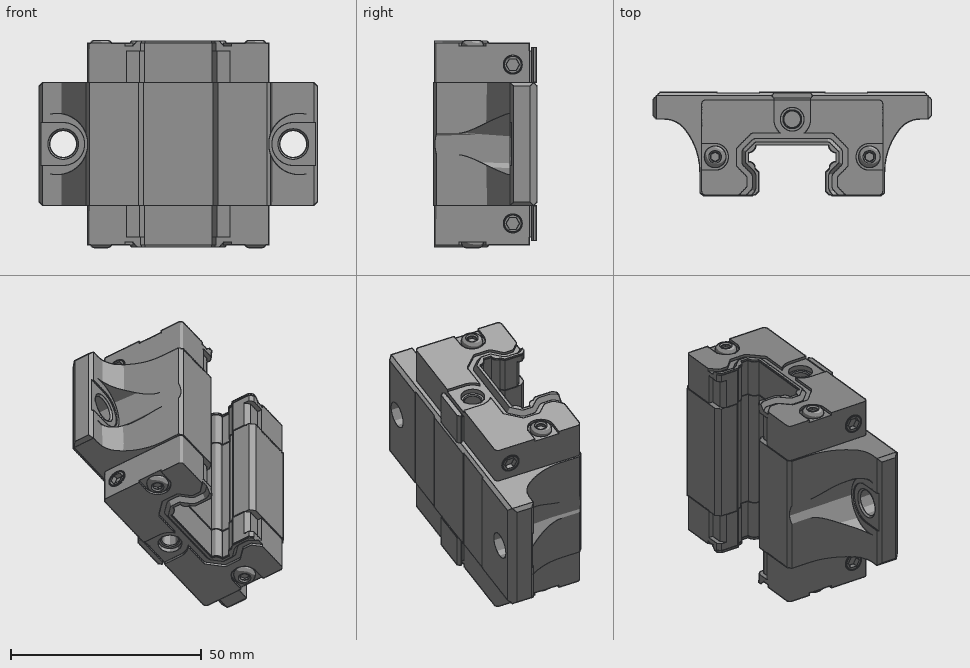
import cadquery as cq
import math


WIDTH = 73.0
HEIGHT = 27.2
LENGTH = 54.4
TOP_Y = HEIGHT / 2
BOTTOM_Y = -HEIGHT / 2
BELOW = BOTTOM_Y - 3.65

BLOCK_LENGTH = 32.3
BLOCK_END_Z = BLOCK_LENGTH / 2
BODY_HALF_WIDTH = 24.2
FLANGE_UNDERSIDE_Y = 6.5
SMALL_FILLET_RADIUS = 6.8
LARGE_FILLET_RADIUS = 18.2
FILLET_START_X = 33.5
FILLET_END_Y = -7.4
TIP_CHAMFER = 0.95
TOP_EDGE_CHAMFER = 1.9
FOOT_CHAMFER_X = 1.0
FOOT_CHAMFER_Y = 0.9
TOP_GROOVE_INNER_X = 8.6
TOP_GROOVE_OUTER_X = 19.7
TOP_GROOVE_DEPTH = 0.2

MOUNT_X = 30.15
MOUNT_DIAMETER = 7.0
MOUNT_COUNTERSINK = 8.0
MOUNT_PAD_RADIUS = 5.6
MOUNT_PAD_DEPTH = 0.4
RELIEF_X = 31.75
RELIEF_RADIUS = 8.0

CAP_END_Z = 26.4
CAP_HALF_WIDTH = 23.7
CAP_TOP_Y = 11.5
CAP_BOTTOM_Y = -13.35
CAP_EDGE_RADIUS = 1.0
RECESS_DEPTH = 0.7
RECESS_FLOOR_Z = CAP_END_Z - RECESS_DEPTH
SIDE_SLOT_X = 13.5
SIDE_SLOT_END_Z = 24.4
SIDE_SLOT_FLOOR_Y = -12.1
SIDE_SLOT_CHAMFER = 1.25

SEAL_END_Z = 27.0
SEAL_SLOPE_WIDTH = 0.95
SEAL_GAP = 1.4
SEAL_CORNER_RADIUS = 1.6
RECESS_CORNER_RADIUS = 0.9
CAP_CLEARANCE = 0.15
BLOCK_CLEARANCE = 0.4
CHANNEL_TOP_Y = -0.3
CHANNEL_TOP_HALF = 9.5
CHANNEL_WAIST_HALF = 11.45
CHANNEL_FOOT_HALF = 8.75
CHANNEL_FOOT_CHAMFER_Y = -12.5

SCREW_X = 20.2
SCREW_Y = -3.35
SCREW_HEAD_DIAMETER = 5.7
SCREW_SOCKET_RING = 3.3
SCREW_SOCKET_DIAMETER = 2.5
SCREW_SOCKET_DEPTH = 1.1
SCREW_POCKET_RADIUS = 3.5

PORT_Y = 6.5
PORT_POCKET_HALF = 4.8
PORT_COUNTERBORE = 6.2
PORT_COUNTERBORE_DEPTH = 1.3
PORT_HOLE_MOUTH = 5.0
PORT_HOLE = 4.4
PORT_HOLE_DEPTH = 5.85
CLIP_END_Z = 25.3
CLIP_NECK_END_Z = 24.4
CLIP_TOP_Y = 13.4
CLIP_MIDDLE_Y = 12.7
CLIP_BASE_Y = 12.1
CLIP_TOP_HALF = 4.7
CLIP_MIDDLE_HALF = 5.4
CLIP_BASE_HALF = 5.0

SET_SCREW_Y = 7.2
SET_SCREW_Z = 20.8
SET_SCREW_DIAMETER = 5.0
SET_SCREW_FACE = 4.4
SET_SCREW_HEX_FLATS = 3.1
SET_SCREW_HEX_DEPTH = 1.45


def both_sides(shape):
    """The shape together with its mirror image in the YZ plane."""
    return shape.union(shape.mirror("YZ"))


def mirrored_outline(half_points):
    """Closed polyline from points on the +X side, mirrored to the -X side."""
    other_half = [(-x, y) for x, y in reversed(half_points)]
    return cq.Workplane("XY").polyline(half_points + other_half).close()


def channel(start_z, end_z, clearance):
    """Rail opening between two Z positions, enlarged by a clearance."""
    foot_spread = CHANNEL_FOOT_HALF + CHANNEL_FOOT_CHAMFER_Y - BELOW
    outline = (
        cq.Workplane("XY", origin=(0, 0, start_z))
        .moveTo(-CHANNEL_TOP_HALF, CHANNEL_TOP_Y)
        .lineTo(CHANNEL_TOP_HALF, CHANNEL_TOP_Y)
        .threePointArc((10.15, -1.75), (CHANNEL_WAIST_HALF, -2.3))
        .lineTo(CHANNEL_WAIST_HALF, -4.6)
        .threePointArc((10.15, -5.1), (9.7, -6.35))
        .lineTo(CHANNEL_FOOT_HALF, -7.3)
        .lineTo(CHANNEL_FOOT_HALF, CHANNEL_FOOT_CHAMFER_Y)
        .lineTo(foot_spread, BELOW)
        .lineTo(-foot_spread, BELOW)
        .lineTo(-CHANNEL_FOOT_HALF, CHANNEL_FOOT_CHAMFER_Y)
        .lineTo(-CHANNEL_FOOT_HALF, -7.3)
        .lineTo(-9.7, -6.35)
        .threePointArc((-10.15, -5.1), (-CHANNEL_WAIST_HALF, -4.6))
        .lineTo(-CHANNEL_WAIST_HALF, -2.3)
        .threePointArc((-10.15, -1.75), (-CHANNEL_TOP_HALF, CHANNEL_TOP_Y))
        .close()
    )
    if clearance > 0:
        outline = outline.offset2D(clearance, "intersection")
    return outline.extrude(end_z - start_z)


def block_blank():
    """Block with wide flanges and two-arc transitions to its sides."""
    tip_x = WIDTH / 2
    small_centre_y = FLANGE_UNDERSIDE_Y - SMALL_FILLET_RADIUS
    large_centre_x = BODY_HALF_WIDTH + LARGE_FILLET_RADIUS
    tangent_angle = math.atan2(small_centre_y - FILLET_END_Y, FILLET_START_X - large_centre_x)

    def on_small_arc(angle):
        x = FILLET_START_X + SMALL_FILLET_RADIUS * math.cos(angle)
        return x, small_centre_y + SMALL_FILLET_RADIUS * math.sin(angle)

    def on_large_arc(angle):
        x = large_centre_x + LARGE_FILLET_RADIUS * math.cos(angle)
        return x, FILLET_END_Y + LARGE_FILLET_RADIUS * math.sin(angle)

    half = (
        cq.Workplane("XY", origin=(0, 0, -BLOCK_END_Z))
        .moveTo(0, TOP_Y)
        .lineTo(tip_x, TOP_Y)
        .lineTo(tip_x, FLANGE_UNDERSIDE_Y + TIP_CHAMFER)
        .lineTo(tip_x - TIP_CHAMFER, FLANGE_UNDERSIDE_Y)
        .lineTo(FILLET_START_X, FLANGE_UNDERSIDE_Y)
        .threePointArc(on_small_arc((math.pi / 2 + tangent_angle) / 2), on_small_arc(tangent_angle))
        .threePointArc(on_large_arc((tangent_angle + math.pi) / 2), on_large_arc(math.pi))
        .lineTo(BODY_HALF_WIDTH, BOTTOM_Y + FOOT_CHAMFER_Y)
        .lineTo(BODY_HALF_WIDTH - FOOT_CHAMFER_X, BOTTOM_Y)
        .lineTo(0, BOTTOM_Y)
        .close()
        .extrude(BLOCK_LENGTH)
    )
    blank = both_sides(half)
    blank = blank.faces(">Y").edges("<Z or >Z").chamfer(TIP_CHAMFER)
    for side in ("<X", ">X"):
        blank = blank.faces(side).edges("<Z or >Z").chamfer(TIP_CHAMFER)
    corner = (
        cq.Workplane("XY", origin=(0, 0, -BLOCK_END_Z))
        .moveTo(tip_x, TOP_Y)
        .lineTo(tip_x - TOP_EDGE_CHAMFER, TOP_Y)
        .lineTo(tip_x, TOP_Y - TOP_EDGE_CHAMFER)
        .close()
        .extrude(BLOCK_LENGTH)
    )
    return blank.cut(both_sides(corner))


def top_grooves():
    """Shallow relief strips along the mounting face."""
    width = TOP_GROOVE_OUTER_X - TOP_GROOVE_INNER_X
    groove = (
        cq.Workplane("XY")
        .box(width, 2 * TOP_GROOVE_DEPTH, BLOCK_LENGTH)
        .translate(((TOP_GROOVE_INNER_X + TOP_GROOVE_OUTER_X) / 2, TOP_Y, 0))
    )
    return both_sides(groove)


def mounting_cuts():
    """Through hole, countersink, D-shaped spot face and tool relief per flange."""
    seat_y = FLANGE_UNDERSIDE_Y + MOUNT_PAD_DEPTH
    countersink_height = (MOUNT_COUNTERSINK - MOUNT_DIAMETER) / 2
    underside = cq.Workplane("XZ", origin=(0, FLANGE_UNDERSIDE_Y, 0))
    relief = underside.center(RELIEF_X, 0).circle(RELIEF_RADIUS).extrude(FLANGE_UNDERSIDE_Y - BELOW)
    seat = cq.Workplane("XZ", origin=(MOUNT_X, seat_y, 0))
    pad_length = WIDTH / 2 - MOUNT_X
    pad = seat.circle(MOUNT_PAD_RADIUS).extrude(2 * MOUNT_PAD_DEPTH)
    pad = pad.union(
        seat.center(pad_length / 2, 0).rect(pad_length, 2 * MOUNT_PAD_RADIUS).extrude(2 * MOUNT_PAD_DEPTH)
    )
    hole = seat.circle(MOUNT_DIAMETER / 2).extrude(seat_y - TOP_Y)
    countersink = cq.Workplane(
        cq.Solid.makeCone(
            MOUNT_COUNTERSINK / 2,
            MOUNT_DIAMETER / 2,
            countersink_height,
            cq.Vector(MOUNT_X, seat_y, 0),
            cq.Vector(0, 1, 0),
        )
    )
    return both_sides(relief.union(pad).union(hole).union(countersink))


def seal_foot_outline():
    """Outline of the seal lip where it rises from the recess floor."""
    return mirrored_outline(
        [
            (10.1, 1.45),
            (13.2, -1.7),
            (13.2, -5.25),
            (10.45, -8.0),
            (10.45, -11.75),
            (10.45 - 11.75 - BELOW, BELOW),
        ]
    )


def seal_lip():
    """Tapered lip around the rail opening, flat on top and open at the bottom."""
    lip_height = SEAL_END_Z - RECESS_FLOOR_Z
    taper = math.degrees(math.atan2(SEAL_SLOPE_WIDTH, lip_height))
    rounded_foot = seal_foot_outline().extrude(lip_height).edges("|Z").fillet(SEAL_CORNER_RADIUS)
    foot_wires = rounded_foot.faces("<Z").wires().vals()
    lip = cq.Workplane("XY").add(foot_wires).toPending().extrude(lip_height, taper=taper)
    lip = lip.translate((0, 0, RECESS_FLOOR_Z))
    keep = (
        cq.Workplane("XY")
        .box(WIDTH, HEIGHT, LENGTH)
        .translate((0, CAP_BOTTOM_Y + HEIGHT / 2, 0))
    )
    return lip.intersect(keep)


def seal_recess():
    """Recess in the cap face that surrounds the seal lip."""
    recess = seal_foot_outline().offset2D(SEAL_GAP, "intersection").extrude(RECESS_DEPTH)
    recess = recess.edges("|Z").fillet(RECESS_CORNER_RADIUS)
    return recess.translate((0, 0, RECESS_FLOOR_Z))


def channel_side_slots():
    """Slots in the cap bottom beside the channel, closed towards the cap face."""
    inner_x = CHANNEL_FOOT_HALF + CAP_CLEARANCE
    slot = (
        cq.Workplane("XY", origin=(0, 0, BLOCK_END_Z))
        .moveTo(SIDE_SLOT_X, BELOW)
        .lineTo(SIDE_SLOT_X, SIDE_SLOT_FLOOR_Y)
        .lineTo(inner_x + SIDE_SLOT_CHAMFER, SIDE_SLOT_FLOOR_Y)
        .lineTo(inner_x, SIDE_SLOT_FLOOR_Y + SIDE_SLOT_CHAMFER)
        .lineTo(inner_x, BELOW)
        .close()
        .extrude(SIDE_SLOT_END_Z - BLOCK_END_Z)
    )
    return both_sides(slot)


def hexagon(plane, corner_diameter, turn, depth):
    """Hexagonal prism centred on a plane's origin."""
    corners = []
    for corner in range(6):
        angle = turn + corner * math.pi / 3
        corners.append((corner_diameter / 2 * math.cos(angle), corner_diameter / 2 * math.sin(angle)))
    return plane.polyline(corners).close().extrude(depth)


def screw_pockets():
    """Round-ended pockets in the cap face, open to the cap sides."""
    floor = cq.Workplane("XY", origin=(SCREW_X, SCREW_Y, RECESS_FLOOR_Z))
    open_length = BODY_HALF_WIDTH - SCREW_X
    pocket = floor.circle(SCREW_POCKET_RADIUS).extrude(RECESS_DEPTH)
    pocket = pocket.union(
        floor.center(open_length / 2, 0).rect(open_length, 2 * SCREW_POCKET_RADIUS).extrude(RECESS_DEPTH)
    )
    return both_sides(pocket)


def screw_heads():
    """Domed screw heads with chamfered hexagon sockets."""
    rim = SCREW_HEAD_DIAMETER / 2
    top = SCREW_SOCKET_RING / 2
    head_height = LENGTH / 2 - RECESS_FLOOR_Z
    dome_radius = rim - top
    dome_base = head_height - dome_radius
    arc_reach = dome_radius * math.sqrt(0.5)
    head = (
        cq.Workplane("XZ")
        .lineTo(rim, 0)
        .lineTo(rim, dome_base)
        .threePointArc((top + arc_reach, dome_base + arc_reach), (top, head_height))
        .lineTo(0, head_height)
        .close()
        .revolve(360, (0, 0), (0, 1))
    )
    top_plane = cq.Workplane("XY", origin=(0, 0, head_height))
    head = head.cut(hexagon(top_plane, SCREW_SOCKET_DIAMETER, math.pi / 2, -SCREW_SOCKET_DEPTH))
    ring_depth = (SCREW_SOCKET_RING - SCREW_SOCKET_DIAMETER) / 2
    ring = cq.Solid.makeCone(
        SCREW_SOCKET_RING / 2,
        SCREW_SOCKET_DIAMETER / 2,
        ring_depth,
        cq.Vector(0, 0, head_height),
        cq.Vector(0, 0, -1),
    )
    head = head.cut(cq.Workplane(ring))
    return both_sides(head.translate((SCREW_X, SCREW_Y, RECESS_FLOOR_Z)))


def port_cuts():
    """U-shaped pocket and stepped blind hole of the lubrication port."""
    floor = cq.Workplane("XY", origin=(0, PORT_Y, RECESS_FLOOR_Z))
    open_length = TOP_Y - PORT_Y
    pocket = floor.circle(PORT_POCKET_HALF).extrude(RECESS_DEPTH)
    pocket = pocket.union(
        floor.center(0, open_length / 2).rect(2 * PORT_POCKET_HALF, open_length).extrude(RECESS_DEPTH)
    )
    mouth_chamfer = (PORT_HOLE_MOUTH - PORT_HOLE) / 2
    hole = (
        cq.Workplane("XZ")
        .lineTo(PORT_COUNTERBORE / 2, 0)
        .lineTo(PORT_COUNTERBORE / 2, -PORT_COUNTERBORE_DEPTH)
        .lineTo(PORT_HOLE_MOUTH / 2, -PORT_COUNTERBORE_DEPTH)
        .lineTo(PORT_HOLE / 2, -PORT_COUNTERBORE_DEPTH - mouth_chamfer)
        .lineTo(PORT_HOLE / 2, -PORT_HOLE_DEPTH)
        .lineTo(0, -PORT_HOLE_DEPTH)
        .close()
        .revolve(360, (0, 0), (0, 1))
        .translate((0, PORT_Y, RECESS_FLOOR_Z))
    )
    return pocket.union(hole)


def port_clip():
    """Dovetail-edged clip on top of the cap, joined to it by a shorter neck."""
    clip = mirrored_outline(
        [
            (CLIP_TOP_HALF, CLIP_TOP_Y),
            (CLIP_MIDDLE_HALF, CLIP_MIDDLE_Y),
            (CLIP_BASE_HALF, CLIP_BASE_Y),
        ]
    ).extrude(CLIP_END_Z - BLOCK_END_Z)
    neck_height = CLIP_BASE_Y - CAP_TOP_Y
    neck = (
        cq.Workplane("XY")
        .center(0, CAP_TOP_Y + neck_height / 2)
        .rect(2 * PORT_POCKET_HALF, neck_height)
        .extrude(CLIP_NECK_END_Z - BLOCK_END_Z)
    )
    return clip.union(neck).translate((0, 0, BLOCK_END_Z))


def set_screw_cuts():
    """Ring groove and hexagon socket of a flush set screw in each cap side."""
    groove_depth = (SET_SCREW_DIAMETER - SET_SCREW_FACE) / 2
    side = cq.Workplane("YZ", origin=(CAP_HALF_WIDTH, SET_SCREW_Y, SET_SCREW_Z))
    tip = cq.Solid.makeCone(
        SET_SCREW_DIAMETER / 2,
        SET_SCREW_FACE / 2,
        groove_depth,
        cq.Vector(CAP_HALF_WIDTH - groove_depth, SET_SCREW_Y, SET_SCREW_Z),
        cq.Vector(1, 0, 0),
    )
    groove = side.circle(SET_SCREW_DIAMETER / 2).extrude(-groove_depth).cut(cq.Workplane(tip))
    corner_diameter = SET_SCREW_HEX_FLATS / math.cos(math.pi / 6)
    socket = hexagon(side, corner_diameter, 0, -SET_SCREW_HEX_DEPTH)
    return both_sides(groove.union(socket))


def end_cap():
    """Complete end cap on the +Z end of the block."""
    cap = (
        cq.Workplane("XY", origin=(0, (CAP_TOP_Y + CAP_BOTTOM_Y) / 2, BLOCK_END_Z))
        .rect(2 * CAP_HALF_WIDTH, CAP_TOP_Y - CAP_BOTTOM_Y)
        .extrude(CAP_END_Z - BLOCK_END_Z)
        .edges("|Z")
        .fillet(CAP_EDGE_RADIUS)
    )
    cap = cap.cut(seal_recess()).cut(port_cuts()).cut(screw_pockets()).cut(set_screw_cuts())
    cap = cap.cut(channel_side_slots())
    cap = cap.union(seal_lip()).union(screw_heads()).union(port_clip())
    cap = cap.cut(channel(BLOCK_END_Z, CAP_END_Z, CAP_CLEARANCE))
    return cap.cut(channel(CAP_END_Z, SEAL_END_Z, 0))


block = block_blank().cut(top_grooves()).cut(mounting_cuts())
block = block.cut(channel(-BLOCK_END_Z, BLOCK_END_Z, BLOCK_CLEARANCE))
cap = end_cap()
result = block.union(cap).union(cap.mirror("XY"))